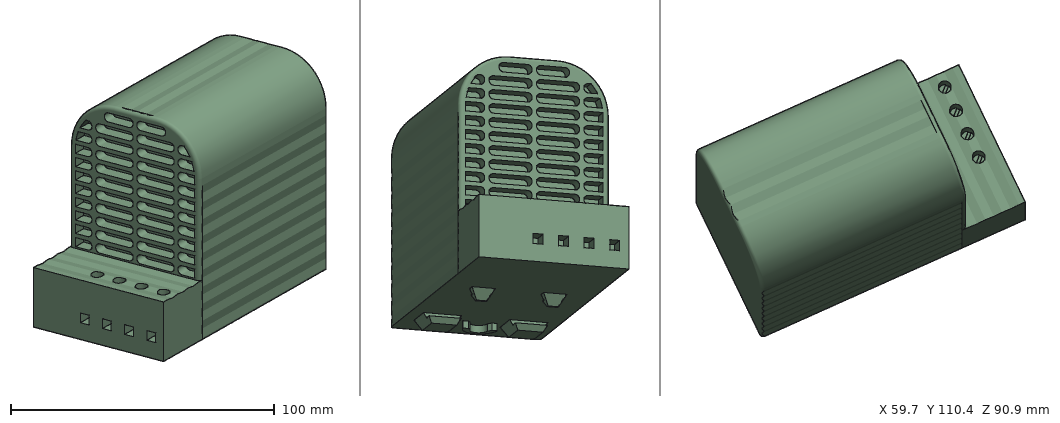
import cadquery as cq
import math


length = 110.4
width = 59.7
height = 86.5
half_width = width / 2
corner_radius = 20.4
edge_radius = 1.5
terminal_depth = 24.5
terminal_height = 24.5
tower_depth = length - terminal_depth

groove_pitch = 7.0
groove_depth = 0.4
groove_front_gap = 1.9
side_groove_count = 9
side_groove_bottom = 0.5
top_groove_count = 2
terminal_groove_count = 3
terminal_groove_start = 2.6

slot_height = 3.8
slot_depth = 5.5
slot_row_count = 11
bottom_row_z = 27.0
top_row_z = 81.9
row_pitch = (top_row_z - bottom_row_z) / (slot_row_count - 1)
column_gap = 1.8
inner_slot_length = 17.1
top_slot_length = 13.1
vent_margin = 2.5

terminal_count = 4
terminal_pitch = 10.2
first_terminal_x = -6.3
screw_y = 8.5
screw_hole_diameter = 4.9
screw_hole_depth = 5.5
driver_slot_width = 1.2
driver_slot_depth = 1.1
driver_slot_angle = -45
wire_hole_size = 4.0
wire_hole_z = 8.9
wire_hole_depth = 6.6

clip_height = 4.4
clip_neck_height = 2.0
clip_slope = math.tan(math.radians(30))
clip_inner_x = 9.6
front_clip_outer_x = 18.9
front_clip_front = 42.9
front_clip_back = 46.4
front_lip_overhang = 1.7
rear_clip_outer_x = 24.7
rear_clip_front = 85.1
rear_clip_back = 97.1
rear_lip_overhang = 3.3

boss_radius = 6.7
boss_height = 2.9
boss_front = 92.0
boss_recess_radius = 3.4
boss_mouth_width = 9.3
boss_mouth_depth = 1.7

overlap = 1.1


def arch(y_front, depth, bottom, inset):
    """Slab with two rounded top corners, inset all round from the tower outline."""
    side = half_width - inset
    top = height - inset
    radius = corner_radius - inset
    outline = (
        cq.Workplane("XZ", origin=(0, y_front, 0))
        .moveTo(-side, bottom)
        .lineTo(-side, top - radius)
        .radiusArc((radius - side, top), radius)
        .lineTo(side - radius, top)
        .radiusArc((side, top - radius), radius)
        .lineTo(side, bottom)
        .close()
    )
    return outline.extrude(-depth)


def groove_cutter(plane, count, run):
    """Row of adjoining V grooves; the plane's local Y points out of the grooved surface."""
    points = [(0, overlap), (0, 0)]
    for index in range(count):
        points.append(((index + 0.5) * groove_pitch, -groove_depth))
        points.append(((index + 1) * groove_pitch, 0))
    points.append((count * groove_pitch, overlap))
    return cq.Workplane(plane).polyline(points).close().extrude(run)


def slot(x_start, slot_length, z):
    """Round-ended slot cut back from the tower front."""
    return (
        cq.Workplane("XZ", origin=(x_start + slot_length / 2, terminal_depth, z))
        .slot2D(slot_length, slot_height)
        .extrude(-slot_depth)
    )


def vent_slots():
    """Rows of slots on both sides of the centre line, kept inside the vent margin."""
    inner_start = column_gap / 2
    outer_start = inner_start + inner_slot_length + column_gap
    slots = slot(inner_start, top_slot_length, top_row_z)
    for row in range(slot_row_count - 1):
        z = bottom_row_z + row * row_pitch
        slots = slots.union(slot(inner_start, inner_slot_length, z))
        slots = slots.union(slot(outer_start, inner_slot_length, z))
    slots = slots.union(slots.mirror("YZ"))
    return slots.intersect(arch(terminal_depth, slot_depth, terminal_height, vent_margin))


def terminal_holes(x):
    """Screw hole with a driver slot in its floor, and the square wire hole in front of it."""
    screw_hole = (
        cq.Workplane("XY", origin=(x, screw_y, terminal_height + overlap))
        .circle(screw_hole_diameter / 2)
        .extrude(-screw_hole_depth - overlap)
    )
    screw_head = (
        cq.Workplane("XY", origin=(x, screw_y, terminal_height - screw_hole_depth))
        .circle(screw_hole_diameter / 2)
        .extrude(-driver_slot_depth)
    )
    driver_slot = (
        cq.Workplane("XY", origin=(x, screw_y, terminal_height - screw_hole_depth))
        .transformed(rotate=(0, 0, driver_slot_angle))
        .rect(screw_hole_diameter, driver_slot_width)
        .extrude(-driver_slot_depth)
    )
    wire_hole = (
        cq.Workplane("XZ", origin=(x, 0, wire_hole_z))
        .rect(wire_hole_size, wire_hole_size)
        .extrude(-wire_hole_depth)
    )
    return screw_hole.union(driver_slot.intersect(screw_head)).union(wire_hole)


def rail_clip(neck_y, slope_y, lip_overhang, outer_x):
    """Hooked clip: the lip overhangs the neck side, all other sides slope in downwards."""
    lip_side = math.copysign(1, neck_y - slope_y)
    lip_y = neck_y + lip_side * lip_overhang
    taper = clip_height * clip_slope
    lip_taper = (clip_height - clip_neck_height) * clip_slope
    hook = (
        cq.Workplane("YZ")
        .moveTo(slope_y, 0)
        .lineTo(neck_y, 0)
        .lineTo(neck_y, -clip_neck_height)
        .lineTo(lip_y, -clip_neck_height)
        .lineTo(lip_y - lip_side * lip_taper, -clip_height)
        .lineTo(slope_y + lip_side * taper, -clip_height)
        .close()
        .extrude(half_width)
    )
    tapered_width = (
        cq.Workplane("XZ")
        .moveTo(clip_inner_x, 0)
        .lineTo(outer_x, 0)
        .lineTo(outer_x - taper, -clip_height)
        .lineTo(clip_inner_x + taper, -clip_height)
        .close()
        .extrude(-length)
    )
    return hook.intersect(tapered_width)


def boss():
    """Half disc with a flat front and a round recess behind a tapered mouth."""
    mouth_end = boss_front + boss_mouth_depth
    return (
        cq.Workplane("XY")
        .moveTo(-boss_radius, boss_front)
        .threePointArc((0, boss_front + boss_radius), (boss_radius, boss_front))
        .lineTo(boss_mouth_width / 2, boss_front)
        .lineTo(boss_recess_radius, mouth_end)
        .threePointArc((0, mouth_end + boss_recess_radius), (-boss_recess_radius, mouth_end))
        .lineTo(-boss_mouth_width / 2, boss_front)
        .close()
        .extrude(-boss_height)
    )


tower = arch(terminal_depth, tower_depth, 0, 0)
tower = tower.faces("<Y or >Y").edges("not <Z").fillet(edge_radius)
terminal_block = cq.Workplane("XY").box(
    width, terminal_depth + groove_front_gap, terminal_height, centered=(True, False, False)
)
body = tower.union(terminal_block)

tower_groove_run = tower_depth - groove_front_gap + overlap
groove_back = length + overlap
side_plane = cq.Plane((-half_width, groove_back, side_groove_bottom), (0, 0, 1), (0, -1, 0))
side_grooves = groove_cutter(side_plane, side_groove_count, tower_groove_run)
top_start_x = -top_groove_count * groove_pitch / 2
top_plane = cq.Plane((top_start_x, groove_back, height), (1, 0, 0), (0, -1, 0))
top_grooves = groove_cutter(top_plane, top_groove_count, tower_groove_run)
terminal_plane = cq.Plane((-half_width, terminal_groove_start, terminal_height), (0, 1, 0), (1, 0, 0))
terminal_grooves = groove_cutter(terminal_plane, terminal_groove_count, width)
body = body.cut(side_grooves).cut(side_grooves.mirror("YZ")).cut(top_grooves).cut(terminal_grooves)

body = body.cut(vent_slots())
for terminal in range(terminal_count):
    body = body.cut(terminal_holes(first_terminal_x + terminal * terminal_pitch))

front_clip = rail_clip(front_clip_back, front_clip_front, front_lip_overhang, front_clip_outer_x)
rear_clip = rail_clip(rear_clip_front, rear_clip_back, rear_lip_overhang, rear_clip_outer_x)
for clip in (front_clip, rear_clip):
    body = body.union(clip).union(clip.mirror("YZ"))

result = body.union(boss())